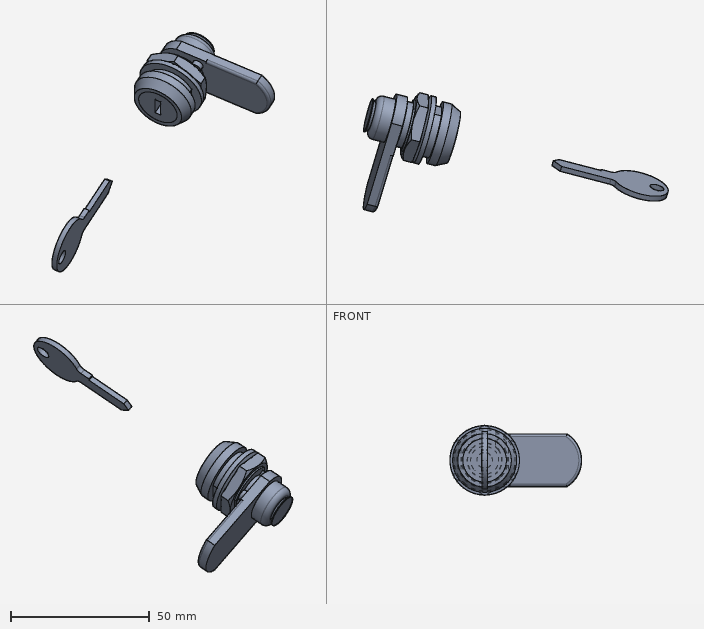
import cadquery as cq
import math

CUT_MARGIN = 33.6

HEAD_RADIUS = 11.5
HEAD_FRONT_RADIUS = 9.6
HEAD_CONE_Y = 3.8
HEAD_REAR_Y = 6.9
BARREL_RADIUS = 9.5
BARREL_FLAT_WIDTH = 17.0
BARREL_REAR_Y = 17.4
STOP_RING_RADIUS = 8.4
STOP_RING_REAR_Y = 19.6
STOP_START_ANGLE = 30.0
STOP_END_ANGLE = 150.0

PLUG_HEAD_RADIUS = 7.8
PLUG_RADIUS = 6.3

WASHER_RADIUS = 12.5
WASHER_FRONT_Y = 9.9
WASHER_CONE_Y = 11.6
NUT_FRONT_Y = 12.4
NUT_REAR_Y = 16.7
NUT_CORNER_DIAMETER = 25.4
NUT_FLAT_RADIUS = NUT_CORNER_DIAMETER / 2 * math.cos(math.pi / 6)
NUT_CHAMFER_LENGTH = 1.0

CAM_FRONT_Y = 19.9
CAM_REAR_Y = 24.0
CAM_WIDTH = 19.0
CAM_BOSS_RADIUS = 10.0
CAM_REACH = 34.9
CAM_CORNER_X = 29.7
CAM_FILLET = 1.0
CAM_FILLET_START_X = 9.1
STOP_PIN_RADIUS = 2.0
STOP_PIN_CIRCLE_RADIUS = 8.3
STOP_PIN_ANGLE = 45.0
STOP_PIN_FRONT_Y = 17.9

CAP_RADIUS = 8.1
CAP_REAR_Y = 30.5
CAP_FILLET = 2.2
SCREW_HEAD_RADIUS = 6.2
SCREW_NECK_RADIUS = 5.0
SCREW_RIM = 0.3
SCREW_REAR_Y = 31.9
SCREW_SHANK_RADIUS = 2.8
SCREW_FRONT_Y = 16.8

LOCK_AND_KEY_LENGTH = 112.0
KEY_THICKNESS = 2.0
KEY_LENGTH = 43.0
KEY_BOW_RADIUS = 10.3
KEY_HOLE_RADIUS = 2.6
KEY_HOLE_OFFSET = 6.0
KEY_BLADE_TOP_Z = 2.6
KEY_BLADE_BOTTOM_Z = -3.5
KEY_STEP_Z = 3.6
KEY_STEP_LENGTH = 17.9
KEY_TIP_TOP_LENGTH = 2.1
KEY_TIP_BOTTOM_LENGTH = 3.1
KEY_NECK_FILLET = 2.2
SLOT_WIDTH = 2.2
SLOT_HEIGHT = 7.8
SLOT_DEPTH = 13.4


def section_plane(y):
    """Plane across the lock axis with local x along X and local y along Z; its normal points to -Y."""
    return cq.Workplane("XZ", origin=(0, y, 0))


def cylinder(radius, front_y, rear_y):
    """Cylinder on the lock axis between two Y positions."""
    return section_plane(front_y).circle(radius).extrude(front_y - rear_y)


def revolve_profile(points):
    """Solid of revolution about the lock axis from a list of (radius, y) points."""
    return cq.Workplane("XY").polyline(points).close().revolve(360, (0, 0, 0), (0, 1, 0))


def on_circle(radius, angle):
    """Point on a circle about the lock axis, with the angle in degrees from +X towards +Z."""
    return (radius * math.cos(math.radians(angle)), radius * math.sin(math.radians(angle)))


def flattened_barrel(front_y, rear_y):
    """Barrel cross-section, a circle with a flat on each X side, between two Y positions."""
    length = rear_y - front_y
    flats = section_plane(front_y).rect(BARREL_FLAT_WIDTH, CUT_MARGIN).extrude(-length)
    return cylinder(BARREL_RADIUS, front_y, rear_y).intersect(flats)


def make_stop_sector():
    """Wedge removed from the stop ring so that the stop pin can swing."""
    return (
        section_plane(BARREL_REAR_Y)
        .polyline([
            (0, 0),
            on_circle(CUT_MARGIN, STOP_START_ANGLE),
            on_circle(CUT_MARGIN, STOP_END_ANGLE),
        ])
        .close()
        .extrude(BARREL_REAR_Y - STOP_RING_REAR_Y)
    )


def make_housing():
    head = revolve_profile([
        (0, 0),
        (HEAD_FRONT_RADIUS, 0),
        (HEAD_RADIUS, HEAD_CONE_Y),
        (HEAD_RADIUS, HEAD_REAR_Y),
        (0, HEAD_REAR_Y),
    ])
    barrel = flattened_barrel(HEAD_REAR_Y, BARREL_REAR_Y)
    stop_ring = cylinder(STOP_RING_RADIUS, BARREL_REAR_Y, STOP_RING_REAR_Y).cut(make_stop_sector())
    body = head.union(barrel).union(stop_ring)
    head_bore = cylinder(PLUG_HEAD_RADIUS, 0, HEAD_REAR_Y)
    barrel_bore = cylinder(PLUG_RADIUS, HEAD_REAR_Y, STOP_RING_REAR_Y)
    return body.cut(head_bore).cut(barrel_bore)


def make_plug():
    head = cylinder(PLUG_HEAD_RADIUS, 0, HEAD_REAR_Y)
    shaft = cylinder(PLUG_RADIUS, HEAD_REAR_Y, CAM_FRONT_Y)
    key_slot = section_plane(0).rect(SLOT_WIDTH, SLOT_HEIGHT).extrude(-SLOT_DEPTH)
    screw_hole = cylinder(SCREW_SHANK_RADIUS, SCREW_FRONT_Y, CAM_FRONT_Y)
    return head.union(shaft).cut(key_slot).cut(screw_hole)


def make_washer():
    washer = revolve_profile([
        (0, WASHER_FRONT_Y),
        (WASHER_RADIUS, WASHER_FRONT_Y),
        (WASHER_RADIUS, WASHER_CONE_Y),
        (NUT_FLAT_RADIUS, NUT_FRONT_Y),
        (0, NUT_FRONT_Y),
    ])
    return washer.cut(flattened_barrel(WASHER_FRONT_Y, NUT_FRONT_Y))


def make_nut():
    corner_radius = NUT_CORNER_DIAMETER / 2
    hexagon = (
        section_plane(NUT_FRONT_Y)
        .transformed(rotate=(0, 0, 90))
        .polygon(6, NUT_CORNER_DIAMETER)
        .extrude(NUT_FRONT_Y - NUT_REAR_Y)
    )
    chamfer_cone = revolve_profile([
        (0, NUT_FRONT_Y),
        (corner_radius, NUT_FRONT_Y),
        (corner_radius, NUT_REAR_Y - NUT_CHAMFER_LENGTH),
        (NUT_FLAT_RADIUS, NUT_REAR_Y),
        (0, NUT_REAR_Y),
    ])
    return hexagon.intersect(chamfer_cone).cut(flattened_barrel(NUT_FRONT_Y, NUT_REAR_Y))


def make_cam():
    half_width = CAM_WIDTH / 2
    thickness = CAM_REAR_Y - CAM_FRONT_Y
    boss_end_x = -math.sqrt(CAM_BOSS_RADIUS**2 - half_width**2)
    hub = (
        section_plane(CAM_FRONT_Y)
        .moveTo(CAM_FILLET_START_X, -half_width)
        .lineTo(CAM_FILLET_START_X, half_width)
        .lineTo(boss_end_x, half_width)
        .threePointArc((-CAM_BOSS_RADIUS, 0), (boss_end_x, -half_width))
        .close()
        .extrude(-thickness)
    )
    arm = (
        section_plane(CAM_FRONT_Y)
        .moveTo(CAM_FILLET_START_X, half_width)
        .lineTo(CAM_CORNER_X, half_width)
        .threePointArc((CAM_REACH, 0), (CAM_CORNER_X, -half_width))
        .lineTo(CAM_FILLET_START_X, -half_width)
        .close()
        .extrude(-thickness)
    )
    front_edges = arm.faces("<Y").edges("not <X")
    arm = arm.newObject(front_edges.vals()).fillet(CAM_FILLET)
    stop_pin = (
        section_plane(STOP_PIN_FRONT_Y)
        .center(*on_circle(STOP_PIN_CIRCLE_RADIUS, STOP_PIN_ANGLE))
        .circle(STOP_PIN_RADIUS)
        .extrude(STOP_PIN_FRONT_Y - CAM_FRONT_Y)
    )
    pin_notch = cylinder(PLUG_RADIUS, STOP_PIN_FRONT_Y, CAM_FRONT_Y)
    screw_hole = cylinder(SCREW_SHANK_RADIUS, CAM_FRONT_Y, CAM_REAR_Y)
    return hub.union(arm).union(stop_pin.cut(pin_notch)).cut(screw_hole)


def make_cap():
    cap = cylinder(CAP_RADIUS, CAM_REAR_Y, CAP_REAR_Y).faces(">Y").edges().fillet(CAP_FILLET)
    return cap.cut(cylinder(SCREW_SHANK_RADIUS, CAM_REAR_Y, CAP_REAR_Y))


def make_screw():
    return revolve_profile([
        (0, SCREW_FRONT_Y),
        (SCREW_SHANK_RADIUS, SCREW_FRONT_Y),
        (SCREW_SHANK_RADIUS, CAP_REAR_Y),
        (SCREW_NECK_RADIUS, CAP_REAR_Y),
        (SCREW_HEAD_RADIUS, SCREW_REAR_Y - SCREW_RIM),
        (SCREW_HEAD_RADIUS, SCREW_REAR_Y),
        (0, SCREW_REAR_Y),
    ])


def make_key():
    key_front_y = SCREW_REAR_Y - LOCK_AND_KEY_LENGTH
    bow_y = key_front_y + KEY_BOW_RADIUS
    tip_y = key_front_y + KEY_LENGTH
    step_y = tip_y - KEY_STEP_LENGTH
    profile = cq.Workplane("YZ", origin=(-KEY_THICKNESS / 2, 0, 0))
    blade = (
        profile.polyline([
            (bow_y, KEY_BLADE_BOTTOM_Z),
            (tip_y - KEY_TIP_BOTTOM_LENGTH, KEY_BLADE_BOTTOM_Z),
            (tip_y, 0),
            (tip_y - KEY_TIP_TOP_LENGTH, KEY_BLADE_TOP_Z),
            (step_y, KEY_BLADE_TOP_Z),
            (step_y, KEY_STEP_Z),
            (bow_y, KEY_STEP_Z),
        ])
        .close()
        .extrude(KEY_THICKNESS)
    )
    bow = profile.center(bow_y, 0).circle(KEY_BOW_RADIUS).extrude(KEY_THICKNESS)
    neck_box = cq.selectors.BoxSelector(
        (-KEY_THICKNESS, bow_y, -KEY_BOW_RADIUS),
        (KEY_THICKNESS, bow_y + KEY_BOW_RADIUS, KEY_BOW_RADIUS),
    )
    key = bow.union(blade).edges("|X").edges(neck_box).fillet(KEY_NECK_FILLET)
    hole = profile.center(bow_y - KEY_HOLE_OFFSET, 0).circle(KEY_HOLE_RADIUS).extrude(KEY_THICKNESS)
    return key.cut(hole)


housing = make_housing()
plug = make_plug()
washer = make_washer()
nut = make_nut()
cam = make_cam()
cap = make_cap()
screw = make_screw()
key = make_key()

result = cq.Compound.makeCompound([
    housing.val(),
    plug.val(),
    washer.val(),
    nut.val(),
    cam.val(),
    cap.val(),
    screw.val(),
    key.val(),
])